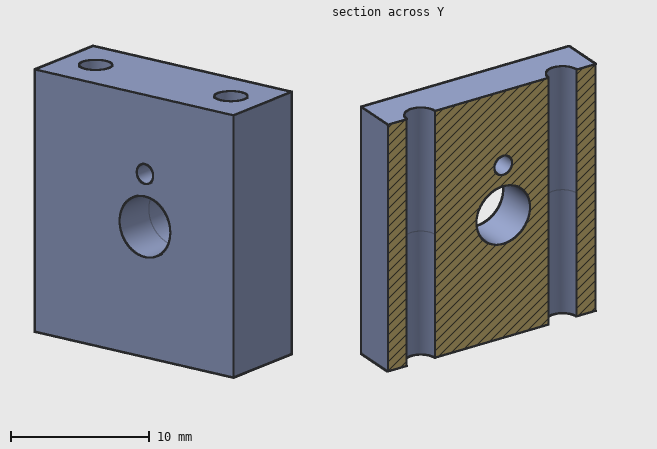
import cadquery as cq

width = 18.0
thickness = 7.0
height = 19.9

bore_diameter = 4.6
pin_hole_diameter = 1.5
bore_x = 1.0
bore_z = -0.05
pin_hole_rise = 4.0

mount_hole_diameter = 2.4
mount_hole_spacing = 12.25


def cross_hole(diameter, x, z):
    """Cylinder along Y through the full thickness."""
    return (
        cq.Workplane("XZ")
        .center(x, z)
        .circle(diameter / 2)
        .extrude(thickness, both=True)
    )


def vertical_hole(diameter, x):
    """Cylinder along Z through the full height."""
    return (
        cq.Workplane("XY")
        .center(x, 0)
        .circle(diameter / 2)
        .extrude(height, both=True)
    )


result = cq.Workplane("XY").box(width, thickness, height)
result = result.cut(cross_hole(bore_diameter, bore_x, bore_z))
result = result.cut(cross_hole(pin_hole_diameter, bore_x, bore_z + pin_hole_rise))
for side in (-1, 1):
    result = result.cut(vertical_hole(mount_hole_diameter, side * mount_hole_spacing / 2))